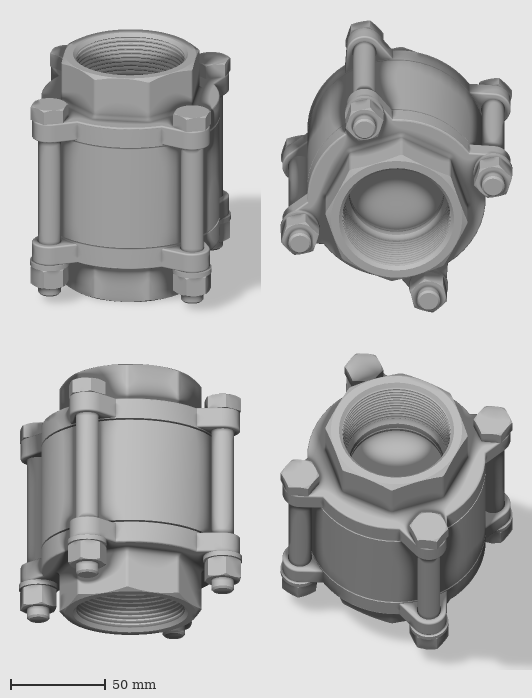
import cadquery as cq
import math

total_height = 127.8
mid_height = total_height / 2
turn_angle = 9.4

body_diameter = 94.6
joint_gap = 1.0
joint_groove_diameter = 90.0
seat_groove_diameter = 65.0
closure_half_thickness = 26.5

flange_outer_height = 104.3
lug_thickness = 10.7
disc_thickness = 11.2
lug_radius = 9.3
lug_left_taper = 20.0
lug_right_taper = 22.5
flange_edge_radius = 0.9

octagon_sides = 8
octagon_width = 70.0
octagon_corner_radius = 2.5
octagon_foot_radius = 2.0
octagon_face_diameter = 69.5
corner_chamfer_angle = 30.0

bore_diameter = 50.7
mouth_diameter = 61.0
mouth_depth = 1.9
thread_top_diameter = 57.5
thread_bottom_diameter = 55.0
thread_end_depth = 28.9
thread_pitch = 2.3
thread_groove_width = 1.5
thread_groove_depth = 1.3
thread_turns = 12

bolt_count = 4
bolt_circle_radius = 53.9
first_bolt_angle = turn_angle + 45.0
bolt_diameter = 12.0
bolt_hole_diameter = 12.8
bolt_end_height = 4.3
bolt_end_chamfer = 1.0
hex_sides = 6
hex_width = 17.9
head_height = 7.8
washer_diameter = 20.7
washer_thickness = 2.5
nut_height = 10.9
first_nut_turn = 180.0 / hex_sides

lug_inner_height = flange_outer_height - lug_thickness
disc_inner_height = flange_outer_height - disc_thickness
body_top_height = disc_inner_height - joint_gap
washer_top_height = total_height - flange_outer_height
nut_top_height = washer_top_height - washer_thickness
nut_bottom_height = nut_top_height - nut_height

bolt_angles = [first_bolt_angle + index * 360.0 / bolt_count for index in range(bolt_count)]
bolt_positions = [
    cq.Vector(
        bolt_circle_radius * math.cos(math.radians(angle)),
        bolt_circle_radius * math.sin(math.radians(angle)),
        0,
    )
    for angle in bolt_angles
]


def cylinder(diameter, bottom, top):
    return cq.Workplane("XY").workplane(offset=bottom).circle(diameter / 2).extrude(top - bottom)


def polygon_prism(sides, width, bottom, top, turn):
    """Regular prism sized across flats, with a flat facing the turn angle."""
    corner_diameter = width / math.cos(math.pi / sides)
    half_side_angle = 180.0 / sides
    prism = cq.Workplane("XY").workplane(offset=bottom).polygon(sides, corner_diameter).extrude(top - bottom)
    return prism.rotate((0, 0, 0), (0, 0, 1), turn + half_side_angle)


def corner_cone(face_diameter, bottom, top, angle):
    """Solid that trims polygon corners at the top end only."""
    face_radius = face_diameter / 2
    reach = face_radius
    drop = reach * math.tan(math.radians(angle))
    outline = [
        (0, bottom),
        (face_radius + reach, bottom),
        (face_radius + reach, top - drop),
        (face_radius, top),
        (0, top),
    ]
    return cq.Workplane("XZ").polyline(outline).close().revolve(360, (0, 0, 0), (0, 1, 0))


def lug_flank(taper_angle):
    """Root point and tangent point of a lug flank, as distances along and beside the lug axis."""
    taper = math.radians(taper_angle)
    tangent_x = bolt_circle_radius + lug_radius * math.sin(taper)
    tangent_y = lug_radius * math.cos(taper)
    root_x = bolt_circle_radius / 2
    root_y = tangent_y + (tangent_x - root_x) * math.tan(taper)
    return root_x, root_y, tangent_x, tangent_y


def make_lugs():
    left_root_x, left_root_y, left_tangent_x, left_tangent_y = lug_flank(lug_left_taper)
    right_root_x, right_root_y, right_tangent_x, right_tangent_y = lug_flank(lug_right_taper)
    lug = (
        cq.Workplane("XY")
        .workplane(offset=lug_inner_height)
        .moveTo(right_root_x, -right_root_y)
        .lineTo(right_tangent_x, -right_tangent_y)
        .threePointArc((bolt_circle_radius + lug_radius, 0), (left_tangent_x, left_tangent_y))
        .lineTo(left_root_x, left_root_y)
        .close()
        .extrude(lug_thickness)
    )
    lugs = cq.Workplane("XY")
    for angle in bolt_angles:
        lugs = lugs.add(lug.rotate((0, 0, 0), (0, 0, 1), angle))
    return lugs.combine()


def make_flange():
    disc = cylinder(body_diameter, lug_inner_height, flange_outer_height)
    flange = disc.union(make_lugs())
    flange = flange.faces(">Z or <Z").edges().fillet(flange_edge_radius)
    rim_top = flange_outer_height - flange_edge_radius
    flange = flange.union(cylinder(body_diameter, disc_inner_height, rim_top))
    hole = cylinder(bolt_hole_diameter, lug_inner_height, flange_outer_height)
    for position in bolt_positions:
        flange = flange.cut(hole.translate(position))
    return flange


def make_socket():
    octagon = polygon_prism(octagon_sides, octagon_width, lug_inner_height, total_height, turn_angle)
    return octagon.edges("|Z").fillet(octagon_corner_radius)


def make_bore():
    """Cutter for the mouth chamfer, tapered thread, shoulder and seat bore."""
    mouth_radius = mouth_diameter / 2
    top_radius = thread_top_diameter / 2
    bottom_radius = thread_bottom_diameter / 2
    bore_radius = bore_diameter / 2
    taper = (top_radius - bottom_radius) / (thread_end_depth - mouth_depth)

    def thread_point(depth, groove_depth):
        crest_radius = top_radius - taper * (depth - mouth_depth)
        return (crest_radius + groove_depth, total_height - depth)

    outline = [(0, total_height), (mouth_radius, total_height)]
    for turn in range(thread_turns):
        start = mouth_depth + turn * thread_pitch
        outline += [
            thread_point(start, 0),
            thread_point(start + thread_groove_width / 2, thread_groove_depth),
            thread_point(start + thread_groove_width, 0),
        ]
    shoulder_depth = thread_end_depth + bottom_radius - bore_radius
    outline += [
        (bottom_radius, total_height - thread_end_depth),
        (bore_radius, total_height - shoulder_depth),
        (bore_radius, mid_height + closure_half_thickness),
        (0, mid_height + closure_half_thickness),
    ]
    bore = cq.Workplane("XZ").polyline(outline).close().revolve(360, (0, 0, 0), (0, 1, 0))
    return bore.union(cylinder(seat_groove_diameter, body_top_height, disc_inner_height))


def make_cap():
    """Upper end cap: lugged flange with the octagonal socket blended into it."""
    cap = make_flange().union(make_socket())
    foot_reach = octagon_width / 2 + octagon_foot_radius
    tolerance = 0.1
    foot_edges = cq.selectors.BoxSelector(
        (-foot_reach, -foot_reach, flange_outer_height - tolerance),
        (foot_reach, foot_reach, flange_outer_height + tolerance),
    )
    cap = cap.edges(foot_edges).fillet(octagon_foot_radius)
    cone = corner_cone(octagon_face_diameter, disc_inner_height, total_height, corner_chamfer_angle)
    return cap.intersect(cone)


def make_body():
    body = cylinder(body_diameter, total_height - body_top_height, body_top_height)
    core = cylinder(joint_groove_diameter, total_height - lug_inner_height, lug_inner_height)
    return body.union(core)


def mirrored(shape):
    return shape.mirror("XY", (0, 0, mid_height))


def make_hex(bottom, top, both_ends):
    hexagon = polygon_prism(hex_sides, hex_width, bottom, top, 0)
    cone = corner_cone(hex_width, bottom, top, corner_chamfer_angle)
    hexagon = hexagon.intersect(cone)
    if both_ends:
        middle = (bottom + top) / 2
        hexagon = hexagon.intersect(cone.mirror("XY", (0, 0, middle)))
    return hexagon


def make_bolt():
    shank = cylinder(bolt_diameter, bolt_end_height, flange_outer_height)
    shank = shank.faces("<Z").chamfer(bolt_end_chamfer)
    head = make_hex(flange_outer_height, flange_outer_height + head_height, both_ends=False)
    washer = cylinder(washer_diameter, nut_top_height, washer_top_height)
    return shank.union(head).union(washer)


def make_nut(turn):
    nut = make_hex(nut_bottom_height, nut_top_height, both_ends=True)
    return nut.rotate((0, 0, 0), (0, 0, 1), turn)


cap = make_cap()
bore = make_bore()
result = make_body().union(cap).union(mirrored(cap)).cut(bore).cut(mirrored(bore))
bolt = make_bolt()
for index, position in enumerate(bolt_positions):
    nut_turn = first_nut_turn if index == 0 else 0
    result = result.union(bolt.union(make_nut(nut_turn)).translate(position))